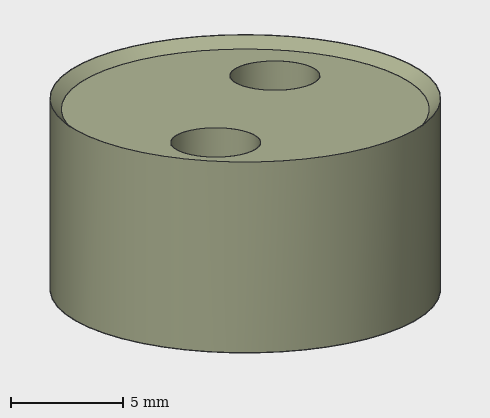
import cadquery as cq

body_diameter = 17.4
body_height = 9.0
recess_depth = 0.5
hole_diameter = 4.0
hole_spacing = 9.5

body_radius = body_diameter / 2
floor_radius = body_radius - recess_depth
floor_height = body_height - recess_depth

body_half_section = (
    cq.Workplane("XZ")
    .lineTo(body_radius, 0)
    .lineTo(body_radius, body_height)
    .lineTo(floor_radius, floor_height)
    .lineTo(0, floor_height)
    .close()
)
body = body_half_section.revolve(360, (0, 0, 0), (0, 1, 0))

hole_centers = [(0, side * hole_spacing / 2) for side in (-1, 1)]
holes = (
    cq.Workplane("XY")
    .pushPoints(hole_centers)
    .circle(hole_diameter / 2)
    .extrude(body_height)
)

result = body.cut(holes)